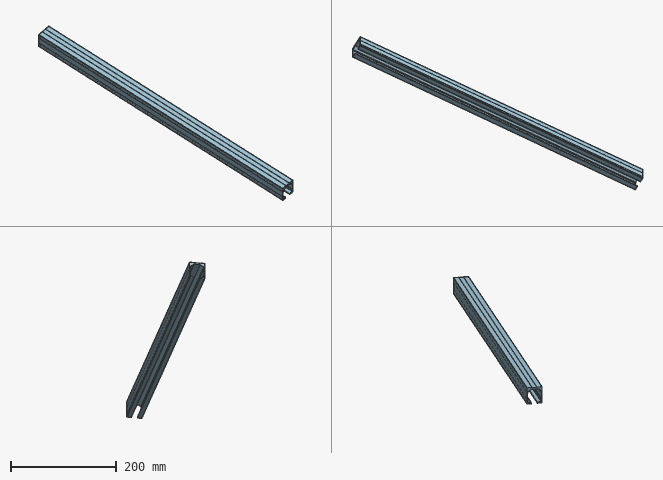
import cadquery as cq

length = 609.5
width = 30.0
height = 33.0

thin_wall = 1.5
thick_wall = 2.5
roof = 3.5
ceiling_bevel_width = 7.0
ceiling_bevel_height = 5.0
recess_bottom = 8.5
recess_top = 22.0

slot_width = 11.5
lip_tip_thickness = 2.0
lip_root_thickness = 3.5

groove_width = 9.0
groove_depth = 0.3

upper_edge_bevel = 0.5
lower_edge_bevel = 0.9


def bar(bar_width, bottom, top):
    """Full-length bar, centred in X and Y, between two levels."""
    return (
        cq.Workplane("XY")
        .box(length, bar_width, top - bottom, centered=(True, True, False))
        .translate((0, 0, bottom))
    )


def rail_body():
    """Outer bar with its four long edges bevelled."""
    body = bar(width, 0, height)
    body = body.edges("|X and >Z").chamfer(upper_edge_bevel)
    return body.edges("|X and <Z").chamfer(lower_edge_bevel)


def cavity():
    """Hollow with a recessed band in each side, open downwards through the slot."""
    recess_y = width / 2 - thin_wall
    wall_y = width / 2 - thick_wall
    slot_y = slot_width / 2
    ceiling = height - roof
    right_side = [
        (slot_y, 0),
        (slot_y, lip_tip_thickness),
        (wall_y, lip_root_thickness),
        (wall_y, recess_bottom),
        (recess_y, recess_bottom),
        (recess_y, recess_top),
        (wall_y, recess_top),
        (wall_y, ceiling - ceiling_bevel_height),
        (wall_y - ceiling_bevel_width, ceiling),
    ]
    left_side = [(-y, z) for y, z in reversed(right_side)]
    return (
        cq.Workplane("YZ")
        .polyline(right_side + left_side)
        .close()
        .extrude(length / 2, both=True)
    )


roof_groove = bar(groove_width, height - groove_depth, height)

result = rail_body().cut(cavity()).cut(roof_groove)